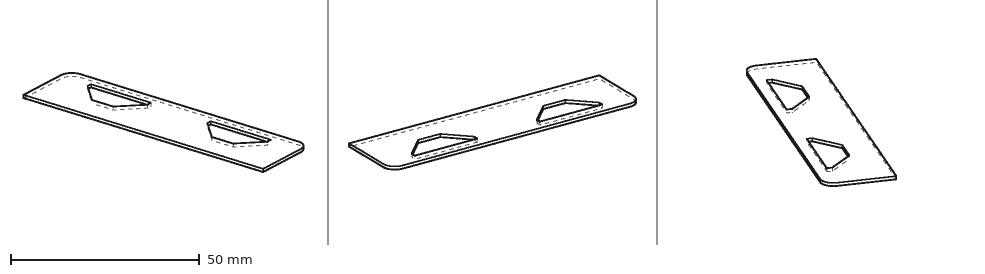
import cadquery as cq

length = 80
width = 20
thickness = 1.0
corner_radius = 3.6

window_length = length / 4
window_height = 8
window_corner_cut = 6.5
window_margin = 3.6
window_spacing = length / 2


def make_plate():
    plate = cq.Workplane("XY").box(length, width, thickness, centered=(True, True, False))
    return plate.edges("|Z and >Y").fillet(corner_radius)


def make_window(center_x):
    center_y = width / 2 - window_margin - window_height / 2
    window = cq.Workplane("XY").center(center_x, center_y).rect(window_length, window_height).extrude(thickness)
    return window.edges("|Z and <Y").chamfer(window_corner_cut)


result = make_plate()
for side in (-1, 1):
    result = result.cut(make_window(side * window_spacing / 2))